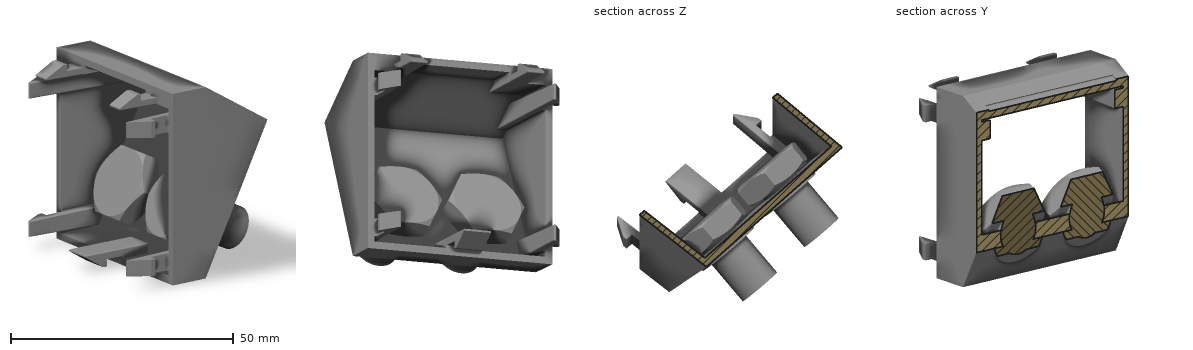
import cadquery as cq
import math

size = 45.0
half_size = size / 2
edge_depth = 9.2
apex_depth = 26.5
apex_height = 34.3
wall = 1.6
panel = 1.8
draft = 1.0
draft_slope = math.tan(math.radians(draft))

button_tilt = math.atan2(apex_depth - edge_depth, apex_height)
label_tilt = math.atan2(size - apex_height, apex_depth - edge_depth)

label_width = 37.15
label_start = 4.0
label_length = 12.35
label_recess = 0.3

arm_reach = 10.25
lip_start = 4.5
lip_flat = 1.0
arm_inset = 2.3
tip_thickness = 0.5
lip_inset = 0.55
lip_inset_top = 0.7
inner_inset_side = 3.9
inner_inset_top = 3.7
inner_inset_bottom = 4.05
arm_edge_radius = 0.25
side_arm_width = 3.7
top_arm_width = 4.05
bottom_arm_width = 6.55
top_arm_root = 0.9
bottom_arm_root = 6.75
upper_arm_height = 37.45
lower_arm_height = 4.95
top_arm_offset = 14.25

button_offset = 10.05
button_distance = 12.85
collar_diameter = 15.1
collar_thickness = 0.9
plunger_diameter = 10.12
plunger_length = 11.92
nut_flats = 16.1
nut_start = 2.7
nut_end = 7.75
nut_chamfer_angle = 30.0


def side_prism(outline):
    """Prism across the whole width from an outline of (Y, Z) points."""
    return cq.Workplane("YZ").polyline(outline).close().extrude(half_size, both=True)


def outer_outline(front):
    return [
        (front, 0),
        (edge_depth, 0),
        (apex_depth, apex_height),
        (edge_depth, size),
        (front, size),
    ]


def outer_body():
    """Wedge-shaped body; its left and right sides taper from the rim to the ridge."""
    rear_half = half_size - apex_depth * draft_slope
    plan = [
        (-half_size, 0),
        (half_size, 0),
        (rear_half, apex_depth),
        (-rear_half, apex_depth),
    ]
    plan_prism = cq.Workplane("XY").polyline(plan).close().extrude(size)
    return side_prism(outer_outline(0)).intersect(plan_prism)


def cavity():
    """Drafted opening that ends at the inner faces of the two panels."""
    lower_shift = panel / math.cos(button_tilt)
    upper_shift = panel / math.sin(label_tilt)
    lower_slope = math.tan(button_tilt)
    upper_slope = 1 / math.tan(label_tilt)
    lower_foot = edge_depth - lower_shift
    upper_foot = edge_depth - upper_shift
    ridge_height = (upper_foot - lower_foot + size * upper_slope) / (lower_slope + upper_slope)
    outline = [
        (0, 0),
        (lower_foot, 0),
        (lower_foot + ridge_height * lower_slope, ridge_height),
        (upper_foot, size),
        (0, size),
    ]
    opening = (
        cq.Workplane("XZ", origin=(0, 0, half_size))
        .rect(size - 2 * wall, size - 2 * wall)
        .extrude(-apex_depth, taper=draft)
    )
    return opening.intersect(side_prism(outline))


def label_pocket():
    normal = (0, math.sin(label_tilt), math.cos(label_tilt))
    plane = cq.Plane(origin=(0, edge_depth, size), xDir=(-1, 0, 0), normal=normal)
    return (
        cq.Workplane(plane)
        .center(0, -(label_start + label_length / 2))
        .rect(label_width, label_length)
        .extrude(-label_recess)
    )


def snap_arm(tip_width, inner, lip, root, slope):
    """Snap arm on the top side, centred on X = 0, that widens from its tip to its root."""
    growth = (root + arm_reach) * slope
    profile = [
        (-arm_reach, size - inner),
        (-arm_reach, size - inner + tip_thickness),
        (-lip_start - lip_flat, size - lip),
        (-lip_start, size - lip),
        (-lip_start, size - arm_inset),
        (0, size - arm_inset),
        (0, size - wall / 2),
        (root, size - wall / 2),
        (root, size - inner - growth),
    ]
    half_tip = tip_width / 2
    half_root = half_tip + growth
    plan = [
        (-half_tip, -arm_reach),
        (half_tip, -arm_reach),
        (half_root, root),
        (-half_root, root),
    ]
    plan_prism = cq.Workplane("XY").polyline(plan).close().extrude(size)
    arm = side_prism(profile).intersect(plan_prism)
    return arm.faces("<Z").edges("not >Y").fillet(arm_edge_radius)


def turned(arm, angle):
    """Turn an arm from the top side about the housing's front-to-back axis."""
    return arm.rotate((0, 0, half_size), (0, 1, half_size), angle)


def snap_arms():
    top_arm = snap_arm(top_arm_width, inner_inset_top, lip_inset_top, top_arm_root, draft_slope)
    side_arm = snap_arm(side_arm_width, inner_inset_side, lip_inset, apex_depth, draft_slope)
    bottom_arm = snap_arm(bottom_arm_width, inner_inset_bottom, lip_inset, bottom_arm_root, 0)
    arms = [turned(bottom_arm, 180)]
    for side in (-1, 1):
        arms.append(top_arm.translate((side * top_arm_offset, 0, 0)))
        for height in (upper_arm_height, lower_arm_height):
            arms.append(turned(side_arm, side * 90).translate((0, 0, height - half_size)))
    return arms


def corner_blocks():
    """Fill the upper corners of the opening, flush with the inner faces of the top arms at the rim."""
    arm_growth = arm_reach * draft_slope
    inner_edge = top_arm_offset - top_arm_width / 2 - arm_growth
    length = half_size - wall / 2 - inner_edge
    bottom_inset = inner_inset_top + arm_growth
    height = bottom_inset - wall / 2
    block = cq.Workplane("XY").box(length, apex_depth, height, centered=(True, False, False))
    middle = inner_edge + length / 2
    return [block.translate((side * middle, 0, size - bottom_inset)) for side in (-1, 1)]


def make_housing():
    housing = outer_body().cut(cavity())
    envelope = side_prism(outer_outline(-arm_reach))
    for addition in snap_arms() + corner_blocks():
        housing = housing.union(addition.intersect(envelope))
    return housing.cut(label_pocket())


def button_plane(side):
    """Plane on the lower panel's face, with its normal pointing out of the housing."""
    center = (
        side * button_offset,
        edge_depth + button_distance * math.sin(button_tilt),
        button_distance * math.cos(button_tilt),
    )
    normal = (0, math.cos(button_tilt), -math.sin(button_tilt))
    return cq.Plane(origin=center, xDir=(1, 0, 0), normal=normal)


def button_hole(plane):
    return cq.Workplane(plane).circle(plunger_diameter / 2).extrude(-panel)


def nut(plane):
    """Hexagon with both ends turned down to a circle across its flats."""
    corner_radius = nut_flats / math.sqrt(3)
    flat_radius = nut_flats / 2
    chamfer = (corner_radius - flat_radius) * math.tan(math.radians(nut_chamfer_angle))
    hexagon = (
        cq.Workplane(plane)
        .workplane(offset=-nut_end)
        .polygon(6, 2 * corner_radius)
        .extrude(nut_end - nut_start)
    )
    turned_shape = [
        (0, -nut_end),
        (flat_radius, -nut_end),
        (corner_radius, -nut_end + chamfer),
        (corner_radius, -nut_start - chamfer),
        (flat_radius, -nut_start),
        (0, -nut_start),
    ]
    axial_plane = cq.Plane(origin=plane.origin, xDir=plane.xDir, normal=-plane.yDir)
    envelope = cq.Workplane(axial_plane).polyline(turned_shape).close().revolve(360, (0, 0), (0, 1))
    return hexagon.intersect(envelope)


def make_button(plane):
    collar = cq.Workplane(plane).circle(collar_diameter / 2).extrude(collar_thickness)
    plunger = (
        cq.Workplane(plane)
        .workplane(offset=-nut_end)
        .circle(plunger_diameter / 2)
        .extrude(nut_end + plunger_length)
    )
    return plunger.union(collar).union(nut(plane))


housing = make_housing()
buttons = []
for side in (-1, 1):
    plane = button_plane(side)
    housing = housing.cut(button_hole(plane))
    buttons.append(make_button(plane))

result = cq.Compound.makeCompound([housing.val(), *[button.val() for button in buttons]])